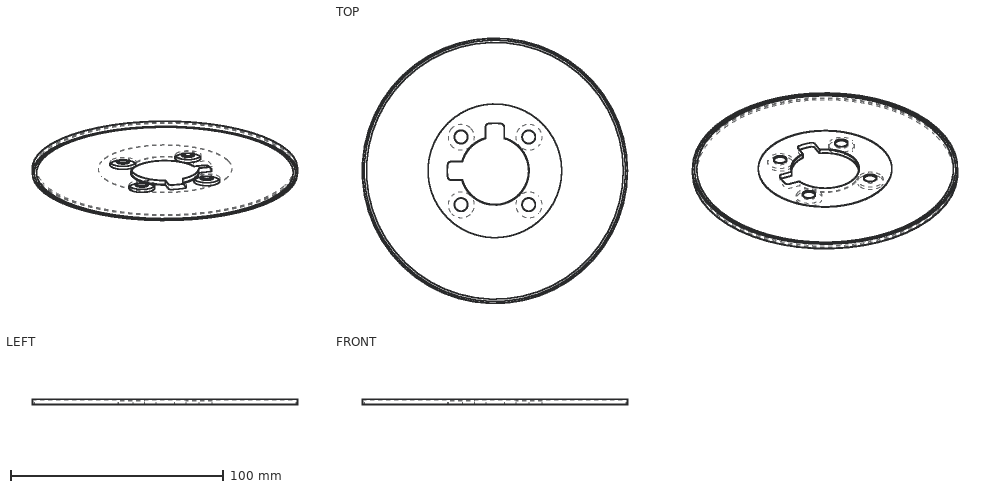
import cadquery as cq

wheel_diameter = 125.0
wheel_thickness = 2.6

core_diameter = 123.1
hub_diameter = 63.0
hub_step = 0.2
web_thickness = wheel_thickness - 2 * hub_step
hub_thickness = web_thickness + hub_step

rim_inner_diameter = 121.0

bore_diameter = 31.8
bore_chamfer = 0.2
keyway_width = 8.6
keyway_reach = 22.4
keyway_corner_radius = 1.5

bolt_hole_diameter = 6.1
bolt_hole_spacing = 31.9
bolt_recess_diameter = 12.2
bolt_seat_thickness = 0.9


def disc(diameter, thickness):
    """Solid disc on the Z axis, centred on the mid-plane."""
    return cq.Workplane("XY", origin=(0, 0, -thickness / 2)).circle(diameter / 2).extrude(thickness)


def keyway_cutter(angle):
    """Slot from the wheel axis outwards along X, its end rounded, then turned about Z."""
    slot = (
        cq.Workplane("XY")
        .box(keyway_reach, keyway_width, wheel_thickness, centered=(False, True, True))
        .intersect(disc(2 * keyway_reach, wheel_thickness))
        .edges("|Z and (not <X)")
        .fillet(keyway_corner_radius)
    )
    return slot.rotate((0, 0, 0), (0, 0, 1), angle)


def bolt_hole_cutters():
    """Four through holes, each with a wider recess from below that leaves a thin seat at the top."""
    pattern = (
        cq.Workplane("XY", origin=(0, 0, -wheel_thickness / 2))
        .rect(bolt_hole_spacing, bolt_hole_spacing, forConstruction=True)
        .vertices()
    )
    holes = pattern.circle(bolt_hole_diameter / 2).extrude(wheel_thickness)
    recesses = pattern.circle(bolt_recess_diameter / 2).extrude(wheel_thickness - bolt_seat_thickness)
    return holes.union(recesses)


def make_core():
    """Web and hub with the keyed bore and the bolt holes; both edges of the bore are chamfered."""
    hub = disc(hub_diameter, hub_thickness).translate((0, 0, hub_step / 2))
    core = disc(core_diameter, web_thickness).union(hub)
    core = core.cut(disc(bore_diameter, wheel_thickness))
    core = core.edges(cq.selectors.RadiusNthSelector(0)).chamfer(bore_chamfer)
    for angle in (90, 180):
        core = core.cut(keyway_cutter(angle))
    return core.cut(bolt_hole_cutters())


def make_rim():
    """Ring whose faces flare from the web to the outer edge, with a groove that holds the core."""
    groove_radius = core_diameter / 2
    lip_radius = rim_inner_diameter / 2
    outer_radius = wheel_diameter / 2
    half_web = web_thickness / 2
    half_rim = wheel_thickness / 2
    profile = (
        cq.Workplane("XZ")
        .moveTo(groove_radius, -half_web)
        .lineTo(groove_radius, half_web)
        .lineTo(lip_radius, half_web)
        .lineTo(outer_radius, half_rim)
        .lineTo(outer_radius, -half_rim)
        .lineTo(lip_radius, -half_web)
        .close()
    )
    return profile.revolve(360, (0, 0, 0), (0, 1, 0))


core = make_core()
rim = make_rim()
result = cq.Compound.makeCompound([core.val(), rim.val()])